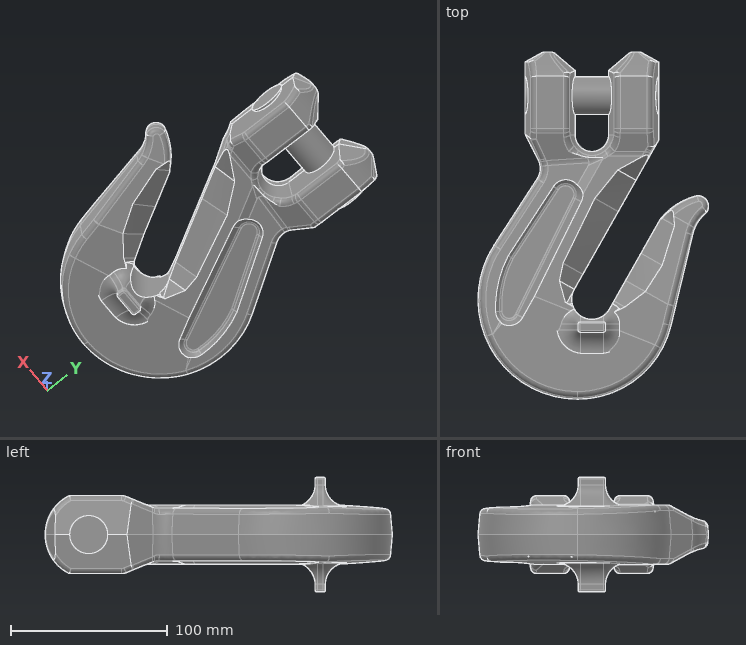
import cadquery as cq
import math


pin_y = 130.05
pin_diameter = 24.3
clevis_half_width = 42.8
clevis_half_height = 25.0
ear_end_radius = 27.9
ear_end_y = pin_y + ear_end_radius
ear_tip = (27.2, 160.1)
clevis_blank_half_width = 50.0
ear_outer_corner_y = 147.5
ear_inner_corner_y = 146.0
gap_half_width = 10.6
gap_bottom_y = 105.0
knee_upper_y = 107.5
knee_lower_y = 93.0
knee_radius = 8.0
clevis_left_y = 119.8
clevis_right_y = 110.3

body_half_height = 19.0
draft_angle = 5.0
ear_draft_angle = 9.5
edge_radius = 4.0
belly_radius = 63.75
belly_center = (-9.05, -0.2)
belly_right_radius = 61.4
tip_flank_angle = math.radians(76.6)
tip_flank_length = 59.3
shank_angle = math.radians(57)
neck_x = -31.2

back_direction = -112.0
back_fall_start, back_fall_end = 12.0, 63.0
back_rim_height = 16.3
tip_fall = [(21, body_half_height), (72, 12), (95, 7)]

throat_radius = 12.8
slot_angle = 60.5
slot_length = 140.0
bevel_edge = 4.4
shank_bevel = [
    (-10, 1, 17, body_half_height),
    (0, 11, 8, body_half_height),
    (11, 14.5, bevel_edge, body_half_height),
    (57, 17.3, bevel_edge, body_half_height),
    (80, 13.4, bevel_edge, body_half_height),
    (100, 1, 17, body_half_height),
]
tip_bevel = [
    (-4, 1, 17, body_half_height),
    (6, 8, 11, body_half_height),
    (21, 14.5, bevel_edge, body_half_height),
    (41, 15.7, bevel_edge, 16.3),
    (67, 10, bevel_edge, 12.7),
    (77, 3, bevel_edge, 10.7),
]

shank_step = [(38, body_half_height), (44, 17.3), (90, 15.8)]

pocket_floor = 14.0
pocket_wall_angle = 45.0
pocket_floor_radius = 2.0

saddle_top = 36.65
saddle_width = 17.6
saddle_thickness = 6.7
saddle_y = -17.8
saddle_base = 18.2
saddle_flare = 13.5
saddle_edge = 1.5

reach = 300.0
above = 60.0


def along_slot(tool):
    """Turn a tool built along +X into the slot direction."""
    return tool.rotate((0, 0, 0), (0, 0, 1), slot_angle)


def rounded(wire, corners):
    """Close the wire, rounding each listed (point, radius) corner."""
    face = cq.Face.makeFromWires(wire)
    for (x, y), radius in corners:
        corner = [v for v in face.Vertices() if math.hypot(v.X - x, v.Y - y) < 0.1]
        face = face.fillet2D(radius, corner)
    return face.outerWire()


def drafted(wire, angle):
    """Extrude a wire from Z = 0 to the clevis height with drafted sides."""
    return cq.Workplane("XY").add(wire).toPending().extrude(clevis_half_height, taper=angle)


def outline():
    """Outline on Z = 0; the space between shank and tip is still partly filled."""
    cx, cy = belly_center
    w = clevis_blank_half_width
    belly_start = (cx - belly_radius * math.sin(shank_angle), cy + belly_radius * math.cos(shank_angle))
    belly_middle = (cx - belly_radius * math.cos(0.5), cy - belly_radius * math.sin(0.5))
    right_end = (cx + belly_right_radius * math.sin(tip_flank_angle),
                 cy - belly_radius + belly_right_radius * (1 - math.cos(tip_flank_angle)))
    flank_end = (right_end[0] + tip_flank_length * math.cos(tip_flank_angle),
                 right_end[1] + tip_flank_length * math.sin(tip_flank_angle))
    neck_corner = (neck_x, belly_start[1] + (neck_x - belly_start[0]) * math.tan(shank_angle))
    slot_fill = [(34, 60), (33, 80), (38.5, 93.2)]
    wire = (
        cq.Workplane("XY")
        .moveTo(-w, clevis_left_y)
        .lineTo(*neck_corner)
        .lineTo(*belly_start)
        .threePointArc(belly_middle, (cx, cy - belly_radius))
        .tangentArcPoint(right_end, relative=False)
        .lineTo(*flank_end)
        .threePointArc((67.5, 48.8), (73.2, 55.2))
        .threePointArc((73.4, 63.2), (67.0, 66.2))
        .threePointArc((54.5, 60.8), (44.0, 51.5))
        .polyline(slot_fill, includeCurrent=True)
        .lineTo(w, clevis_right_y)
        .lineTo(w, ear_outer_corner_y)
        .lineTo(ear_tip[0], ear_tip[1])
        .lineTo(-ear_tip[0], ear_tip[1])
        .lineTo(-w, ear_outer_corner_y)
        .close()
        .val()
    )
    rounded_corners = [
        (neck_corner, 12),
    ] + [(corner, 3) for corner in slot_fill]
    return rounded(wire, rounded_corners)


def ear_gap():
    """Drafted gap between the ears, round at the bottom and opening out at the ear tips."""
    g = gap_half_width
    tip_x, tip_y = ear_tip
    wire = (
        cq.Workplane("XY")
        .moveTo(tip_x, tip_y)
        .lineTo(g, ear_inner_corner_y)
        .lineTo(g, gap_bottom_y)
        .threePointArc((0, gap_bottom_y - g), (-g, gap_bottom_y))
        .lineTo(-g, ear_inner_corner_y)
        .lineTo(-tip_x, tip_y)
        .close()
        .val()
    )
    return drafted(wire, -ear_draft_angle)


def ear_flank(side):
    """Wedge that gives the outer flank of an ear its steeper draft; side is +1 or -1 along X."""
    w = clevis_half_width
    inset = above * math.tan(math.radians(ear_draft_angle))
    return (
        cq.Workplane("XZ", origin=(0, knee_lower_y - 20, 0))
        .polyline([(side * w, 0), (side * 2 * w, 0), (side * 2 * w, above), (side * (w - inset), above)])
        .close()
        .extrude(-reach)
    )


def side_profile():
    """Side shape in YZ: round ear end, tall clevis, slope down to the shank."""
    shoulder_y = pin_y + math.sqrt(ear_end_radius ** 2 - clevis_half_height ** 2)
    a = math.radians(35)
    end_middle = (pin_y + ear_end_radius * math.cos(a), ear_end_radius * math.sin(a))
    profile = (
        cq.Workplane("YZ")
        .moveTo(ear_end_y, 0)
        .threePointArc(end_middle, (shoulder_y, clevis_half_height))
        .lineTo(knee_upper_y, clevis_half_height)
        .lineTo(knee_lower_y, body_half_height)
        .lineTo(-reach, body_half_height)
        .lineTo(-reach, 0)
        .close()
        .extrude(reach, both=True)
    )
    knees = [e for e in profile.edges("|X").vals()
             if min(abs(e.Center().y - knee_upper_y), abs(e.Center().y - knee_lower_y)) < 1]
    return profile.newObject(knees).fillet(knee_radius)


def back_fall():
    """Wedge that lowers the upper face towards the back of the hook."""
    far = 2 * back_fall_end - back_fall_start
    far_height = 2 * back_rim_height - body_half_height
    wedge = (
        cq.Workplane("XZ")
        .polyline([(back_fall_start, body_half_height), (far, far_height), (far, above), (back_fall_start, above)])
        .close()
        .extrude(reach, both=True)
    )
    return wedge.rotate((0, 0, 0), (0, 0, 1), back_direction)


def tip_thinning():
    """Wedge that thins the hook towards its tip, on the tip side of the slot only."""
    start, end = tip_fall[0][0], tip_fall[-1][0]
    wedge = cq.Workplane("XZ").polyline(tip_fall + [(end, above), (start, above)]).close().extrude(reach)
    return along_slot(wedge)


def shank_step_cut():
    """Lowers the back of the shank; it ends where the slope up to the clevis continues downwards."""
    start, end = shank_step[0][0], shank_step[-1][0]
    section = shank_step + [(end, above), (start, above)]
    step = along_slot(cq.Workplane("YZ").polyline(section).close().extrude(reach, both=True))
    rise = (clevis_half_height - body_half_height) / (knee_upper_y - knee_lower_y)
    foot_y = knee_lower_y - body_half_height / rise
    below_slope = (
        cq.Workplane("YZ")
        .polyline([(-reach, 0), (foot_y, 0), (foot_y + above / rise, above), (-reach, above)])
        .close()
        .extrude(reach, both=True)
    )
    tool = step.intersect(below_slope)
    foot = [e for e in tool.edges().vals()
            if e.geomType() == "LINE" and e.Center().z < body_half_height and abs(e.tangentAt(0).x) > 0.9]
    return tool.newObject(foot).fillet(knee_radius)


def slot():
    """Open slot with a round throat centred on the origin."""
    tool = cq.Workplane("XY").slot2D(2 * slot_length, 2 * throat_radius).extrude(above, both=True)
    return along_slot(tool.translate((slot_length - throat_radius, 0, 0)))


def bevel(sections, side):
    """Sloping cutter along one slot wall; side is +1 for the shank, -1 for the tip."""
    inside = throat_radius - 4
    wires = []
    for distance, width, wall_height, face_height in sections:
        points = [(inside, wall_height), (throat_radius, wall_height), (throat_radius + width, face_height),
                  (throat_radius + width, above), (inside, above)]
        wires.append(cq.Wire.makePolygon([cq.Vector(distance, side * y, z) for y, z in points], close=True))
    return along_slot(cq.Workplane(cq.Solid.makeLoft(wires, True)))


def pocket():
    """Shallow pocket in the shank with sloping walls."""
    tool = (
        cq.Workplane("XY", origin=(0, 0, body_half_height))
        .moveTo(-6.7, 62.3)
        .threePointArc((-15.5, 78.2), (-26.3, 73.1))
        .lineTo(-55.3, 28.9)
        .threePointArc((-61.6, 12.0), (-63.3, -8.0))
        .threePointArc((-54.0, -18.0), (-43.5, -12.0))
        .close()
        .extrude(pocket_floor - body_half_height, taper=pocket_wall_angle)
    )
    return tool.faces("<Z").edges().fillet(pocket_floor_radius)


def saddle():
    """Upright rib at the throat that flares out into the hook face."""
    base_size = 2 * saddle_flare + 2
    base = cq.Workplane("XY").box(saddle_width + base_size, saddle_thickness + base_size, saddle_base,
                                  centered=(True, True, False))
    rib = (
        cq.Workplane("XY")
        .box(saddle_width, saddle_thickness, saddle_top, centered=(True, True, False))
        .edges("|Z")
        .fillet(saddle_edge)
        .faces(">Z")
        .edges()
        .fillet(saddle_edge*0.8)
    )
    joined = base.union(rib)
    foot = [e for e in joined.edges().vals()
            if abs(e.Center().z - saddle_base) < 0.01 and abs(e.Center().x) < saddle_width / 2 + 1
            and abs(e.Center().y) < saddle_thickness / 2 + 1]
    flared = joined.newObject(foot).fillet(saddle_flare)
    footprint = (
        cq.Workplane("XY")
        .slot2D(saddle_width + 2 * saddle_flare, saddle_thickness + 2 * saddle_flare)
        .extrude(above)
    )
    return flared.intersect(footprint).translate((0, saddle_y, 0)).cut(slot())


def rim_edges(body, around_gap):
    """Edges between drafted sides and upper faces, either around the ear gap or around the outside."""
    sides = [f for f in body.faces().vals() if 0.02 < f.normalAt().z < 0.2]
    tops = [f for f in body.faces().vals() if f.normalAt().z > 0.2]
    top_edges = [e for f in tops for e in f.Edges()]
    rim = [e for f in sides for e in f.Edges() if any(e.isSame(t) for t in top_edges)]
    gap_start_y = gap_bottom_y - 2 * gap_half_width
    return [e for e in rim
            if (e.Center().y > gap_start_y and abs(e.Center().x) < ear_tip[0]) == around_gap]


def round_rim(body, around_gap):
    return body.newObject(rim_edges(body, around_gap)).fillet(edge_radius)


def upper_half():
    body = drafted(outline(), draft_angle).intersect(side_profile())
    body = body.cut(ear_flank(1)).cut(ear_flank(-1)).cut(ear_gap())
    body = round_rim(body, True)
    body = body.cut(back_fall()).cut(tip_thinning()).cut(shank_step_cut()).cut(slot())
    body = round_rim(body, False)
    body = body.cut(bevel(shank_bevel, 1)).cut(bevel(tip_bevel, -1))
    return body.cut(pocket()).union(saddle())


half = upper_half()
pin = cq.Workplane("YZ").center(pin_y, 0).circle(pin_diameter / 2).extrude(clevis_half_width, both=True)
result = half.union(half.mirror("XY")).union(pin)